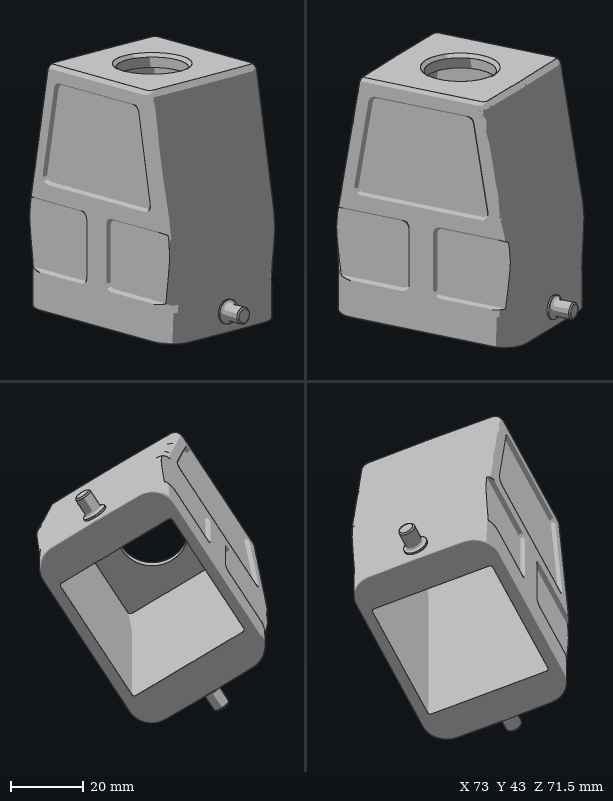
import cadquery as cq
import math

pin_span = 73.0
depth = 43.0
height = 71.5

base_half_width = 29.85
knee_half_width = 28.1
top_taper = 10.0
side_bow = 0.2
skirt_height = 9.05
knee_z = 29.9
knee_band = 0.6
corner_radius_low = 7.3
corner_radius_high = 2.6
corner_blend_start = 11.2
corner_blend_end = 25.7
top_fillet = 2.5
top_trim = 0.3
bottom_fillet = 0.45

cavity_half_x = 19.35
cavity_half_y = 18.25
cavity_corner = 0.9
cavity_lean_z = 55.5
roof_thickness = 4.0
entry_diameter = 20.0
entry_chamfer = 1.0

panel_depth = 1.2
panel_draft = 25.0
panel_corner = 2.2
panel_edge_fillet = 0.2
selection_margin = 0.01
window_bottom = 36.9
window_top = 66.8
window_bottom_half = 21.7
grip_bottom = 11.1
grip_top = 32.05
grip_inner_x = 3.95

pin_z = 6.2
pin_diameter = 4.8
pin_tip_diameter = 4.0
pin_tip_length = 0.45
collar_diameter = 7.0
collar_length = 0.5
collar_fillet = (collar_diameter - pin_diameter) / 2
pin_root = 1.45

half_depth = depth / 2


def side_half_width(z):
    """Half width of the shell, in the middle of the side walls, at height z."""
    if z <= skirt_height:
        return base_half_width
    if z <= knee_z:
        lean = (base_half_width - knee_half_width) / (knee_z - skirt_height)
        return base_half_width - lean * (z - skirt_height)
    return knee_half_width - (z - knee_z) * math.tan(math.radians(top_taper))


def section(z, radius):
    """Closed outline of the shell at height z, with its four corners rounded."""
    middle = side_half_width(z)
    end = middle - side_bow
    corners = [(-end, -half_depth), (end, -half_depth), (end, half_depth), (-end, half_depth)]
    points = [corners[0], corners[1], (middle, 0), corners[2], corners[3], (-middle, 0)]
    wire = cq.Wire.makePolygon([cq.Vector(x, y, z) for x, y in points], close=True)
    rounded = [v for v in wire.Vertices() if abs(v.Y) > half_depth / 2]
    return wire.fillet2D(radius, rounded)


def shell():
    """Solid outer body, lofted through its outlines, with rounded top and bottom edges."""
    blank_top = height + top_trim
    sections = [
        section(0, corner_radius_low),
        section(skirt_height, corner_radius_low),
        section(corner_blend_start, corner_radius_low),
        section(corner_blend_end, corner_radius_high),
        section(knee_z - knee_band / 2, corner_radius_high),
        section(knee_z + knee_band / 2, corner_radius_high),
        section(blank_top, corner_radius_high),
    ]
    body = cq.Workplane(cq.Solid.makeLoft(sections, True)).clean()
    body = body.faces(">Z").edges().fillet(top_fillet)
    trim = cq.Workplane().workplane(offset=height).rect(pin_span, pin_span).extrude(top_trim * 2)
    body = body.cut(trim)
    return body.faces("<Z").edges().fillet(bottom_fillet)


def cavity():
    """Inner space: upright walls, with the side walls leaning in towards the roof."""
    roof_z = height - roof_thickness
    roof_half_x = cavity_half_x - (roof_z - cavity_lean_z) * math.tan(math.radians(top_taper))
    profile = [
        (-cavity_half_x, 0),
        (cavity_half_x, 0),
        (cavity_half_x, cavity_lean_z),
        (roof_half_x, roof_z),
        (-roof_half_x, roof_z),
        (-cavity_half_x, cavity_lean_z),
    ]
    space = cq.Workplane("XZ").polyline(profile).close().extrude(cavity_half_y, both=True)
    return space.edges("(not |Y) and (not |X)").fillet(cavity_corner)


def cable_entry():
    """Round hole through the roof with a chamfered mouth."""
    bore = cq.Workplane().workplane(offset=height - 2 * roof_thickness)
    bore = bore.circle(entry_diameter / 2).extrude(2 * roof_thickness)
    mouth_radius = entry_diameter / 2 + entry_chamfer
    mouth = cq.Solid.makeCone(
        entry_diameter / 2, mouth_radius, entry_chamfer, cq.Vector(0, 0, height - entry_chamfer)
    )
    return bore.union(cq.Workplane(mouth))


def panel_pocket(outline):
    """Cutter that sinks an XZ outline into the front wall, with a rounded rim and floor edge."""
    front = cq.Workplane("XZ", origin=(0, -half_depth, 0))
    rounded = cq.Sketch().polygon(outline + outline[:1]).vertices().fillet(panel_corner)
    pocket = front.placeSketch(rounded).extrude(-panel_depth, taper=panel_draft)
    pocket = pocket.faces(">Y").edges().fillet(panel_edge_fillet)
    slab = front.rect(2 * pin_span, 3 * height).extrude(panel_depth)
    cutter = pocket.union(slab)
    in_wall_face = cq.selectors.BoxSelector(
        (-pin_span, -half_depth - selection_margin, 0),
        (pin_span, -half_depth + selection_margin, height),
        boundingbox=True,
    )
    return cutter.edges(in_wall_face).fillet(panel_edge_fillet)


def window_pocket():
    """Upper recess, whose sides lean like the side walls of the shell."""
    narrowing = (window_top - window_bottom) * math.tan(math.radians(top_taper))
    top_half = window_bottom_half - narrowing
    return panel_pocket([
        (-window_bottom_half, window_bottom),
        (window_bottom_half, window_bottom),
        (top_half, window_top),
        (-top_half, window_top),
    ])


def grip_pocket():
    """Right-hand grip recess, running out through the side of the shell."""
    return panel_pocket([
        (grip_inner_x, grip_bottom),
        (pin_span / 2, grip_bottom),
        (pin_span / 2, grip_top),
        (grip_inner_x, grip_top),
    ])


def pin():
    """Right-hand locking pin with a filleted collar against the wall."""
    tip_x = pin_span / 2
    collar_x = base_half_width + collar_length
    fillet_reach = collar_fillet * (1 - math.sqrt(0.5))
    profile = (
        cq.Workplane("XY")
        .moveTo(base_half_width - pin_root, 0)
        .lineTo(base_half_width - pin_root, collar_diameter / 2)
        .lineTo(collar_x, collar_diameter / 2)
        .threePointArc(
            (collar_x + fillet_reach, pin_diameter / 2 + fillet_reach),
            (collar_x + collar_fillet, pin_diameter / 2),
        )
        .lineTo(tip_x - pin_tip_length, pin_diameter / 2)
        .lineTo(tip_x, pin_tip_diameter / 2)
        .lineTo(tip_x, 0)
        .close()
    )
    turned = profile.revolve(360, (0, 0, 0), (1, 0, 0))
    return turned.translate((0, 0, pin_z))


result = shell().cut(cavity()).cut(cable_entry())

right_grip = grip_pocket()
for pocket in (window_pocket(), right_grip, right_grip.mirror("YZ")):
    result = result.cut(pocket).cut(pocket.mirror("XZ"))

right_pin = pin()
result = result.union(right_pin).union(right_pin.mirror("YZ"))